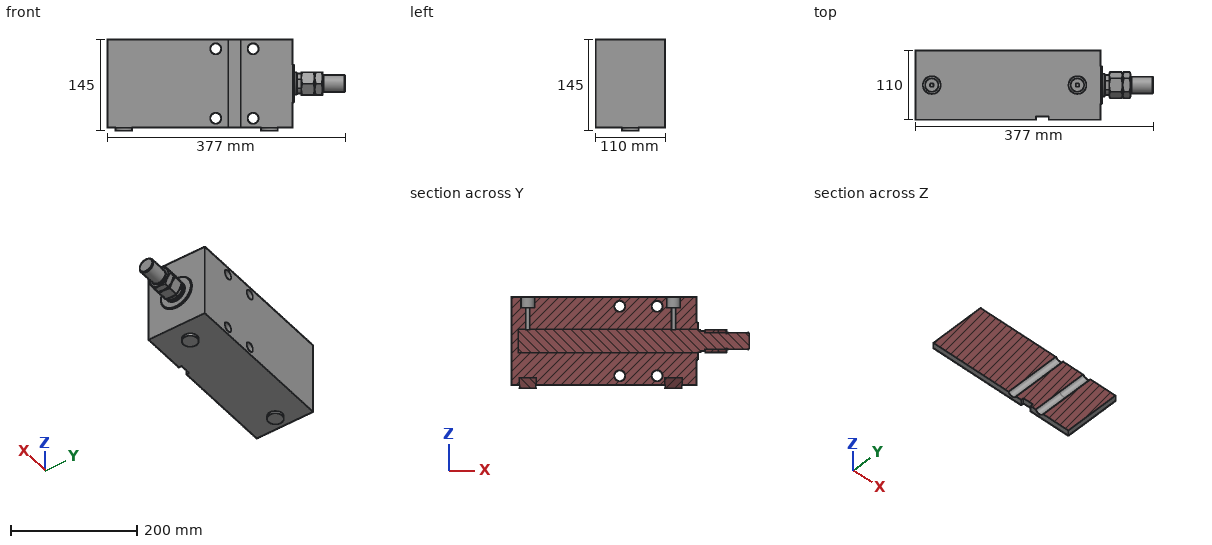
import cadquery as cq
import math


block_length = 293.5
block_width = 110.0
block_height = 140.0

boss_diameter = 60.5
boss_height = 2.3
boss_chamfer = 1.0

key_x = 201.5
key_width = 20.0
key_depth = 5.3
bolt_diameter = 17.0
bolt_pitch_x = 59.2
bolt_pitch_z = 110.0

port_positions_x = [26.0, 256.7]
spotface_diameter = 28.3
spotface_depth = 0.5
port_diameter = 21.0
port_depth = 17.0
feed_diameter = 6.0
plug_diameter = 26.8
plug_protrusion = 5.0
plug_insertion = 11.3

rod_rear_x = 11.3
rod_diameter = 36.2
rod_end_x = 300.5
rod_end_chamfer = 1.5
neck_diameter = 35.0
flat_width = 32.0
stud_end_x = 377.0
stud_diameter = 27.0
stud_chamfer = 1.5
relief_diameter = 23.8
relief_length = 2.0

nut_flats = 36.5
nut_start_x = 307.0
nut_lengths = {"main": 21.5, "lock": 13.0}
nut_chamfer_angle = 30.0
nut_chamfer_diameter = 35.0

boss_end_x = block_length + boss_height
nuts_end_x = nut_start_x + sum(nut_lengths.values())


def cylinder_x(diameter, start, end):
    return cq.Workplane("YZ", origin=(start, 0, 0)).circle(diameter / 2).extrude(end - start)


def cylinder_z(diameter, x, bottom, top):
    return cq.Workplane("XY", origin=(x, 0, bottom)).circle(diameter / 2).extrude(top - bottom)


def turned(points):
    """Revolve an (x, radius) outline around the X axis."""
    return cq.Workplane("XZ").polyline(points).close().revolve(360, (0, 0, 0), (1, 0, 0))


def make_housing():
    top = block_height / 2
    block = cq.Workplane("XY").box(block_length, block_width, block_height, centered=(False, True, True))
    boss = cylinder_x(boss_diameter, block_length, boss_end_x).faces(">X").chamfer(boss_chamfer)
    body = block.union(boss)

    key_center_y = (key_depth - block_width) / 2
    keyway = cq.Workplane("XY", origin=(key_x, key_center_y, 0)).box(key_width, key_depth, block_height)
    body = body.cut(keyway)

    bolts = (
        cq.Workplane("XZ", origin=(key_x, 0, 0))
        .rarray(bolt_pitch_x, bolt_pitch_z, 2, 2)
        .circle(bolt_diameter / 2)
        .extrude(block_width / 2, both=True)
    )
    body = body.cut(bolts)

    body = body.cut(cylinder_x(rod_diameter, rod_rear_x, boss_end_x))

    for x in port_positions_x:
        body = body.cut(cylinder_z(spotface_diameter, x, top - spotface_depth, top))
        body = body.cut(cylinder_z(port_diameter, x, top - port_depth, top))
        body = body.cut(cylinder_z(feed_diameter, x, 0, top))
        body = body.cut(cylinder_z(plug_diameter, x, -top, plug_insertion - top))
    return body


def make_plug(x):
    bottom = -block_height / 2
    return cylinder_z(plug_diameter, x, bottom - plug_protrusion, bottom + plug_insertion)


def make_rod():
    rod_r = rod_diameter / 2
    neck_r = neck_diameter / 2
    stud_r = stud_diameter / 2
    relief_r = relief_diameter / 2
    rod = turned([
        (rod_rear_x, 0),
        (rod_rear_x, rod_r),
        (rod_end_x - rod_end_chamfer, rod_r),
        (rod_end_x, rod_r - rod_end_chamfer),
        (rod_end_x, neck_r),
        (nut_start_x, neck_r),
        (nut_start_x, stud_r),
        (nuts_end_x, stud_r),
        (nuts_end_x, relief_r),
        (nuts_end_x + relief_length, stud_r),
        (stud_end_x - stud_chamfer, stud_r),
        (stud_end_x, stud_r - stud_chamfer),
        (stud_end_x, 0),
    ])

    neck_length = nut_start_x - rod_end_x
    flats = (
        cq.Workplane("YZ", origin=(rod_end_x, 0, 0))
        .rect(rod_diameter, rod_diameter)
        .rect(flat_width, flat_width)
        .extrude(neck_length)
    )
    return rod.cut(flats)


def make_nut(start, length):
    """Hexagon nut with flats facing +Z and -Z, and conical corner chamfers at both ends."""
    corner_diameter = nut_flats / math.cos(math.pi / 6)
    corner_r = corner_diameter / 2
    face_r = nut_chamfer_diameter / 2
    setback = (corner_r - face_r) * math.tan(math.radians(nut_chamfer_angle))
    end = start + length
    hexagon = cq.Workplane("YZ", origin=(start, 0, 0)).polygon(6, corner_diameter).extrude(length)
    envelope = turned([
        (start, 0),
        (start, face_r),
        (start + setback, corner_r),
        (end - setback, corner_r),
        (end, face_r),
        (end, 0),
    ])
    return hexagon.intersect(envelope).cut(cylinder_x(stud_diameter, start, end))


housing = make_housing()
plugs = [make_plug(x) for x in port_positions_x]
rod = make_rod()
main_nut = make_nut(nut_start_x, nut_lengths["main"])
lock_nut = make_nut(nut_start_x + nut_lengths["main"], nut_lengths["lock"])

result = cq.Compound.makeCompound(
    [housing.val(), *[plug.val() for plug in plugs], rod.val(), main_nut.val(), lock_nut.val()]
)